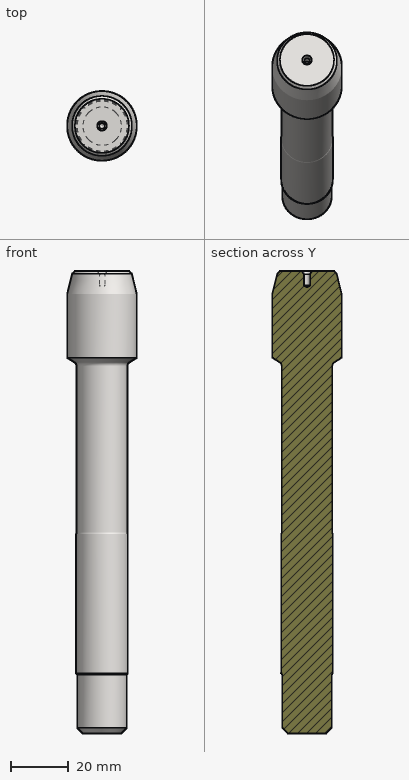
import cadquery as cq
import math

total_length = 160.0

head_diameter = 24.2
head_length = 30.0
nose_length = 8.0
nose_angle = 14.0
top_edge_height = 1.0
top_edge_width = 1.0

underside_slope = 32.0
neck_radius = 1.5

upper_shank_diameter = 17.7
lower_shank_diameter = 18.0
upper_shank_end_depth = 90.5
shank_step_height = 0.5
lower_shank_end_depth = 139.0
pilot_step_angle = 30.0
pilot_diameter = 17.28
tip_chamfer = 2.0

hole_diameter = 2.0
hole_depth = 5.0
countersink_diameter = 3.3
countersink_angle = 60.0
drill_point_angle = 118.0


def make_body():
    """Revolve the half outline about Z; the tip sits on Z = 0."""
    def height(depth_below_top):
        return total_length - depth_below_top

    head_radius = head_diameter / 2
    upper_radius = upper_shank_diameter / 2
    lower_radius = lower_shank_diameter / 2
    pilot_radius = pilot_diameter / 2
    pilot_step_height = (lower_radius - pilot_radius) / math.tan(math.radians(pilot_step_angle))
    nose_run = (nose_length - top_edge_height) * math.tan(math.radians(nose_angle))
    nose_radius = head_radius - nose_run

    slope = math.radians(underside_slope)
    neck_turn = math.pi / 2 - slope
    corner_depth = head_length + (head_radius - upper_radius) * math.tan(slope)
    tangent_length = neck_radius * math.tan(neck_turn / 2)
    neck_start_radius = upper_radius + tangent_length * math.cos(slope)
    neck_start_depth = corner_depth - tangent_length * math.sin(slope)
    neck_end_depth = corner_depth + tangent_length
    neck_mid_radius = upper_radius + neck_radius * (1 - math.cos(neck_turn / 2))
    neck_mid_depth = neck_end_depth - neck_radius * math.sin(neck_turn / 2)

    outline = (
        cq.Workplane("XZ")
        .moveTo(0, total_length)
        .lineTo(nose_radius - top_edge_width, total_length)
        .lineTo(nose_radius, height(top_edge_height))
        .lineTo(head_radius, height(nose_length))
        .lineTo(head_radius, height(head_length))
        .lineTo(neck_start_radius, height(neck_start_depth))
        .threePointArc(
            (neck_mid_radius, height(neck_mid_depth)),
            (upper_radius, height(neck_end_depth)),
        )
        .lineTo(upper_radius, height(upper_shank_end_depth))
        .lineTo(lower_radius, height(upper_shank_end_depth + shank_step_height))
        .lineTo(lower_radius, height(lower_shank_end_depth))
        .lineTo(pilot_radius, height(lower_shank_end_depth + pilot_step_height))
        .lineTo(pilot_radius, tip_chamfer)
        .lineTo(pilot_radius - tip_chamfer, 0)
        .lineTo(0, 0)
        .close()
    )
    return outline.revolve(360, (0, 0, 0), (0, 1, 0))


def make_centre_hole():
    """Countersunk blind hole with a conical drill point, opening at the top face."""
    hole_radius = hole_diameter / 2
    countersink_radius = countersink_diameter / 2
    countersink_half_angle = math.radians(countersink_angle / 2)
    countersink_depth = (countersink_radius - hole_radius) / math.tan(countersink_half_angle)
    point_depth = hole_radius / math.tan(math.radians(drill_point_angle / 2))
    outline = (
        cq.Workplane("XZ")
        .moveTo(0, total_length)
        .lineTo(countersink_radius, total_length)
        .lineTo(hole_radius, total_length - countersink_depth)
        .lineTo(hole_radius, total_length - hole_depth)
        .lineTo(0, total_length - hole_depth - point_depth)
        .close()
    )
    return outline.revolve(360, (0, 0, 0), (0, 1, 0))


result = make_body().cut(make_centre_hole())